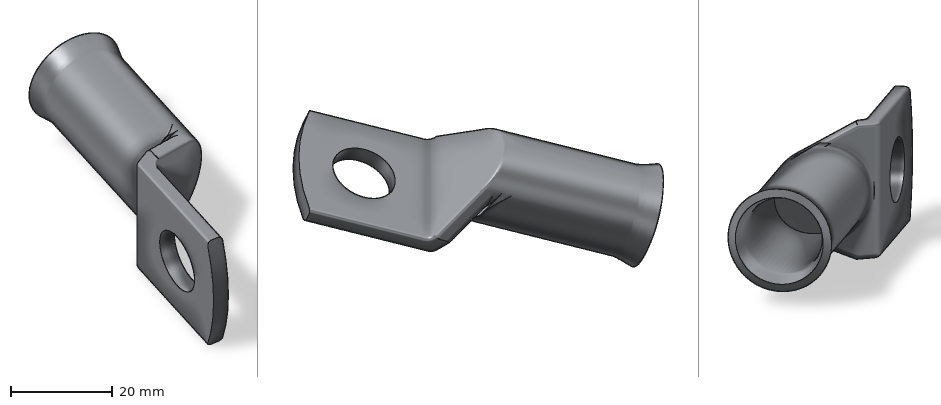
import cadquery as cq
import math

tube_radius = 9.4
bore_radius = 7.85
flare_radius = 10.5
flare_mouth_radius = 8.9
flare_lip = 0.5
flare_length = 4.9
flare_cone_end = 3.45
flare_cone_radius = 9.7
flare_wall = math.hypot(flare_radius - flare_mouth_radius, flare_lip)
cone_angle = math.atan2(flare_lip, flare_radius - flare_mouth_radius)

length = 70.6
palm_width = 28.0
palm_bottom = -11.0
thickness = 3.45
palm_top = palm_bottom + thickness
neck_angle = math.radians(60)
neck_start = 33.4
neck_step = thickness / math.sin(neck_angle)
shoulder_y = -6.5
end_sagitta = 2.5
hole_x = 56.9
hole_diameter = 13.05

edge_fillet = 1.0
rim_fillet = 0.85
outer_bend_fillet = 2.1
inner_bend_fillet = 2.0
barrel_fillet = 1.4

half_width = palm_width / 2
tangent_angle = math.atan2(half_width, shoulder_y) - math.acos(
    tube_radius / math.hypot(shoulder_y, half_width)
)
tangent_y = tube_radius * math.cos(tangent_angle)
tangent_z = tube_radius * math.sin(tangent_angle)


def neck_top_x(y):
    """X of the neck's upper face at height y."""
    return neck_start + (tube_radius - y) / math.tan(neck_angle)


def neck_under_x(y):
    """X of the neck's underside at height y."""
    return neck_top_x(y) - neck_step


def region_before(face_x):
    """Block from the barrel mouth up to one of the inclined neck faces."""
    top, bottom = 2 * tube_radius, -2 * tube_radius
    return (
        cq.Workplane("XY")
        .polyline([(0, top), (face_x(top), top), (face_x(bottom), bottom), (0, bottom)])
        .close()
        .extrude(palm_width, both=True)
    )


def make_barrel():
    """Solid flared barrel, cut off along the upper face of the neck."""
    barrel = (
        cq.Workplane("XY")
        .moveTo(0, 0)
        .lineTo(0, flare_mouth_radius)
        .lineTo(flare_lip, flare_radius)
        .lineTo(flare_cone_end, flare_cone_radius)
        .tangentArcPoint((flare_length, tube_radius), relative=False)
        .lineTo(length, tube_radius)
        .lineTo(length, 0)
        .close()
        .revolve(360, (0, 0, 0), (1, 0, 0))
    )
    return barrel.intersect(region_before(neck_top_x)).faces(">X").edges().fillet(rim_fillet)


def make_bore():
    """Bore with its flared mouth, ending at the underside of the neck."""
    inner_cone_end = flare_cone_end - flare_wall * math.sin(cone_angle)
    inner_cone_radius = flare_cone_radius - flare_wall * math.cos(cone_angle)
    bore = (
        cq.Workplane("XY")
        .moveTo(0, 0)
        .lineTo(0, flare_mouth_radius)
        .lineTo(inner_cone_end, inner_cone_radius)
        .tangentArcPoint((flare_length, bore_radius), relative=False)
        .lineTo(length, bore_radius)
        .lineTo(length, 0)
        .close()
        .revolve(360, (0, 0, 0), (1, 0, 0))
    )
    return bore.intersect(region_before(neck_under_x))


def across_profile():
    """Outline across the part: full palm width tapering along tangents to the barrel."""
    return (
        cq.Workplane("YZ")
        .polyline([
            (palm_bottom, -half_width),
            (shoulder_y, -half_width),
            (tangent_y, -tangent_z),
            (tangent_y, tangent_z),
            (shoulder_y, half_width),
            (palm_bottom, half_width),
        ])
        .close()
        .extrude(length)
    )


def plan_profile():
    """Block as wide as the palm, with the palm's curved end."""
    corner_x = length - end_sagitta
    return (
        cq.Workplane("XZ", origin=(0, 2 * tube_radius, 0))
        .moveTo(0, -half_width)
        .lineTo(corner_x, -half_width)
        .threePointArc((length, 0), (corner_x, half_width))
        .lineTo(0, half_width)
        .close()
        .extrude(4 * tube_radius)
    )


def edges_at(solid, points):
    """The edges of the solid that lie nearest to each point."""
    edges = [solid.edges(cq.selectors.NearestToPointSelector(point)).val() for point in points]
    return solid.newObject(edges)


def make_palm():
    """Bent plate: flat palm and inclined neck, with rounded bends and side edges."""
    plate = (
        cq.Workplane("XY")
        .polyline([
            (neck_under_x(tangent_y), tangent_y),
            (neck_under_x(palm_bottom), palm_bottom),
            (2 * length, palm_bottom),
            (2 * length, palm_top),
            (neck_top_x(palm_top), palm_top),
            (neck_top_x(tangent_y), tangent_y),
        ])
        .close()
        .extrude(half_width, both=True)
        .intersect(across_profile())
    )
    plate = edges_at(plate, [(neck_top_x(palm_top), palm_top, 0)]).fillet(inner_bend_fillet)
    plate = edges_at(plate, [(neck_under_x(palm_bottom), palm_bottom, 0)]).fillet(outer_bend_fillet)

    taper_y = (shoulder_y + tangent_y) / 2
    taper_z = (half_width + tangent_z) / 2
    for face_x, flat_y in ((neck_top_x, palm_top), (neck_under_x, palm_bottom)):
        side_points = [
            point
            for side in (-1, 1)
            for point in ((hole_x, flat_y, side * half_width), (face_x(taper_y), taper_y, side * taper_z))
        ]
        plate = edges_at(plate, side_points).fillet(edge_fillet)
    return plate.intersect(plan_profile())


def make_collar():
    """Fillet where the barrel meets the neck's underside, trimmed to the neck's taper."""
    neck_slab = region_before(neck_top_x).cut(region_before(neck_under_x))
    core = cq.Workplane("YZ", origin=(flare_length, 0, 0)).circle(tube_radius).extrude(length)
    core = core.intersect(region_before(neck_top_x)).union(neck_slab)
    joint = core.edges("%ELLIPSE").fillet(barrel_fillet)
    return joint.intersect(across_profile()).intersect(region_before(neck_under_x))


def make_hole():
    """Stud hole through the palm."""
    return (
        cq.Workplane("XZ", origin=(hole_x, 2 * palm_bottom, 0))
        .circle(hole_diameter / 2)
        .extrude(2 * palm_bottom)
    )


result = (
    make_barrel()
    .union(make_palm())
    .union(make_collar())
    .cut(make_bore())
    .cut(make_hole())
)